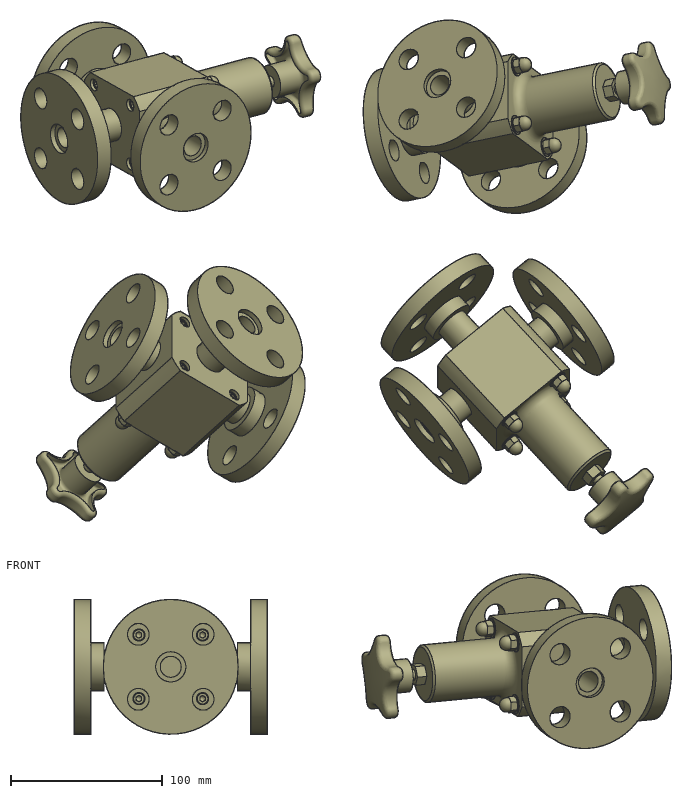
import cadquery as cq
import math

overall_length = 194.8
overall_width = 127.0
bottom_reach = 65.3
side_reach = overall_width / 2
wheel_top = overall_length - bottom_reach

flange_diameter = 88.8
flange_thickness = 11.0
hub_diameter = 31.8
hub_length = 8.8
pipe_diameter = 22.0
bore_diameter = 13.8
counterbore_diameter = 19.9
counterbore_depth = 3.5
bolt_hole_diameter = 14.2
bolt_hole_spacing = 42.7

body_width = 63.9
body_height = 57.0
body_turned_diameter = 75.8
body_front = -23.0
body_back = 35.8

tie_bolt_spacing = 41.9
bolt_recess_diameter = 8.0
bolt_recess_depth = 2.0
bolt_groove_inner_diameter = 7.0
bolt_groove_depth = 0.5
socket_flats = 3.7
socket_depth = 3.0
drill_point_depth = 1.0
washer_diameter = 12.7
washer_thickness = 0.5
nut_flats = 9.5
nut_height = 4.5
nut_collar_height = 1.4
nut_chamfer = 0.5

bonnet_diameter = 38.2
bonnet_top = 93.3
bonnet_chamfer = 1.4
bonnet_root_radius = 6.5
lock_nut_flats = 12.7
lock_nut_top = 100.0
spindle_diameter = 7.5
wheel_boss_bottom = 104.5
wheel_boss_diameter = 22.0

lobe_count = 5
lobe_center_radius = 23.8
lobe_tip_radius = 4.9
lobe_half_angle = math.radians(81)
wheel_bottom = 117.3
crown_radius = 111
wheel_edge_radius = 2.7
wheel_wall = 3.1
pocket_roof = 122.0
pocket_wall_fillet = 1.5
pocket_boss_fillet = 2.5

HEXAGON_CORNER_RATIO = 2 / math.sqrt(3)


def disc(diameter, y_start, y_end):
    """Cylinder on the Y axis."""
    return cq.Workplane("XZ", origin=(0, y_end, 0)).circle(diameter / 2).extrude(y_end - y_start)


def hexagon(flats, y_start, y_end, turn=0):
    """Hexagonal prism on the Y axis, corners along X unless turned about Y."""
    prism = (
        cq.Workplane("XZ", origin=(0, y_end, 0))
        .polygon(6, flats * HEXAGON_CORNER_RATIO)
        .extrude(y_end - y_start)
    )
    return prism.rotate((0, 0, 0), (0, 1, 0), turn)


def square_points(spacing):
    half = spacing / 2
    return [(x, z) for x in (-half, half) for z in (-half, half)]


def at_tie_bolts(shape):
    """One copy of the shape at each tie bolt."""
    copies = cq.Workplane()
    for x, z in square_points(tie_bolt_spacing):
        copies = copies.add(shape.translate((x, 0, z)))
    return copies.combine()


def make_port(reach):
    """Pipe, hub and flange pointing along -Y, with the flange face at the given reach."""
    face = -reach
    flange_back = face + flange_thickness
    flange = disc(flange_diameter, face, flange_back)
    bolt_holes = (
        cq.Workplane("XZ", origin=(0, flange_back, 0))
        .pushPoints(square_points(bolt_hole_spacing))
        .circle(bolt_hole_diameter / 2)
        .extrude(flange_thickness)
    )
    hub = disc(hub_diameter, flange_back, flange_back + hub_length)
    pipe = disc(pipe_diameter, flange_back, 0)
    return flange.cut(bolt_holes).union(hub).union(pipe)


def make_port_bore(reach, depth):
    """Blind bore with a counterbore, entering from the flange face."""
    face = -reach
    counterbore = disc(counterbore_diameter, face, face + counterbore_depth)
    return disc(bore_diameter, face, face + depth).union(counterbore)


def turn_to_side(shape, angle):
    return shape.rotate((0, 0, 0), (0, 0, 1), angle)


def make_body():
    block = cq.Workplane("XY").box(body_width, body_back - body_front, body_height)
    block = block.translate((0, (body_back + body_front) / 2, 0))
    return block.intersect(disc(body_turned_diameter, body_front, body_back))


def make_bolt_recess():
    """Recess over a bolt head with a groove around it and a hexagon socket in its face."""
    head_face = body_front + bolt_recess_depth
    groove_end = head_face + bolt_groove_depth
    socket_end = head_face + socket_depth
    recess = disc(bolt_recess_diameter, body_front, head_face)
    groove = disc(bolt_recess_diameter, head_face, groove_end)
    groove = groove.cut(disc(bolt_groove_inner_diameter, head_face, groove_end))
    socket = hexagon(socket_flats, head_face, socket_end, turn=30)
    drill_point = cq.Workplane(
        cq.Solid.makeCone(
            socket_flats / 2, 0, drill_point_depth, pnt=cq.Vector(0, socket_end, 0), dir=cq.Vector(0, 1, 0)
        )
    )
    return recess.union(groove).union(socket).union(drill_point)


def make_dome_nut():
    """Washer and hexagon cap nut with a hemispherical dome."""
    nut_bottom = body_back + washer_thickness
    nut_top = nut_bottom + nut_height
    dome_center = nut_top + nut_collar_height
    washer = disc(washer_diameter, body_back, nut_bottom)
    corner_round = disc(nut_flats * HEXAGON_CORNER_RATIO, nut_bottom, nut_top).faces("<Y").chamfer(nut_chamfer)
    hexagon_part = hexagon(nut_flats, nut_bottom, nut_top, turn=30).intersect(corner_round)
    collar = disc(nut_flats, nut_top, dome_center)
    dome = cq.Workplane("XY").sphere(nut_flats / 2).translate((0, dome_center, 0))
    return washer.union(hexagon_part).union(collar).union(dome)


def make_bonnet():
    """Bonnet cylinder flaring into the body through a concave root."""
    radius = bonnet_diameter / 2
    root_offset = bonnet_root_radius * (1 - math.sqrt(0.5))
    profile = (
        cq.Workplane("XY")
        .moveTo(0, body_back)
        .lineTo(radius + bonnet_root_radius, body_back)
        .threePointArc(
            (radius + root_offset, body_back + root_offset),
            (radius, body_back + bonnet_root_radius),
        )
        .lineTo(radius, bonnet_top - bonnet_chamfer)
        .lineTo(radius - bonnet_chamfer, bonnet_top)
        .lineTo(0, bonnet_top)
        .close()
    )
    return profile.revolve(360, (0, 0, 0), (0, 1, 0))


def make_spindle():
    lock_nut = hexagon(lock_nut_flats, bonnet_top, lock_nut_top)
    return lock_nut.union(disc(spindle_diameter, bonnet_top, wheel_boss_bottom))


def polar(radius, angle):
    return (radius * math.cos(angle), radius * math.sin(angle))


def make_wheel_prism(inset, prism_top):
    """Lobed prism up to the given Y, one lobe along +Z, its outline moved inwards by the inset."""
    half_pitch = math.pi / lobe_count
    center_gap = lobe_center_radius * math.sin(half_pitch) / math.sin(lobe_half_angle - half_pitch)
    hollow_center_radius = (
        lobe_center_radius * math.sin(lobe_half_angle) / math.sin(lobe_half_angle - half_pitch)
    )
    tip_radius = lobe_tip_radius - inset
    hollow_radius = center_gap - tip_radius

    def lobe_edge(axis, side):
        x, z = polar(lobe_center_radius, axis)
        dx, dz = polar(tip_radius, axis + side * lobe_half_angle)
        return (x + dx, z + dz)

    first_axis = math.pi / 2
    outline = cq.Workplane("XZ", origin=(0, prism_top, 0)).moveTo(*lobe_edge(first_axis, -1))
    for lobe in range(lobe_count):
        axis = first_axis + lobe * 2 * half_pitch
        tip = polar(lobe_center_radius + tip_radius, axis)
        valley = polar(hollow_center_radius - hollow_radius, axis + half_pitch)
        outline = outline.threePointArc(tip, lobe_edge(axis, 1))
        outline = outline.threePointArc(valley, lobe_edge(axis + 2 * half_pitch, -1))
    return outline.close().extrude(prism_top - wheel_bottom)


def make_wheel_pocket():
    """Hollow under the wheel: a ring-shaped space around the boss, rounded at its roof."""
    space = make_wheel_prism(wheel_wall, pocket_roof)
    space = space.faces(">Y").edges().fillet(pocket_wall_fillet)
    boss = disc(wheel_boss_diameter, wheel_bottom, pocket_roof)
    space = space.cut(boss)
    return space.faces(">Y").wires(cq.selectors.AreaNthSelector(0)).edges().fillet(pocket_boss_fillet)


def make_handwheel():
    crown = cq.Workplane("XY").sphere(crown_radius).translate((0, wheel_top - crown_radius, 0))
    wheel = make_wheel_prism(0, wheel_top + wheel_wall).intersect(crown)
    wheel = wheel.faces(">Y or <Y").edges().fillet(wheel_edge_radius)
    boss = disc(wheel_boss_diameter, wheel_boss_bottom, pocket_roof)
    return wheel.cut(make_wheel_pocket()).union(boss)


result = make_body().union(make_port(bottom_reach))
result = result.cut(make_port_bore(bottom_reach, bottom_reach + body_front))
for angle in (-90, 90):
    result = result.union(turn_to_side(make_port(side_reach), angle))
    result = result.cut(turn_to_side(make_port_bore(side_reach, side_reach - body_width / 2), angle))
result = result.cut(at_tie_bolts(make_bolt_recess()))
result = result.union(make_bonnet())
result = result.union(at_tie_bolts(make_dome_nut()))
result = result.union(make_spindle())
result = result.union(make_handwheel())